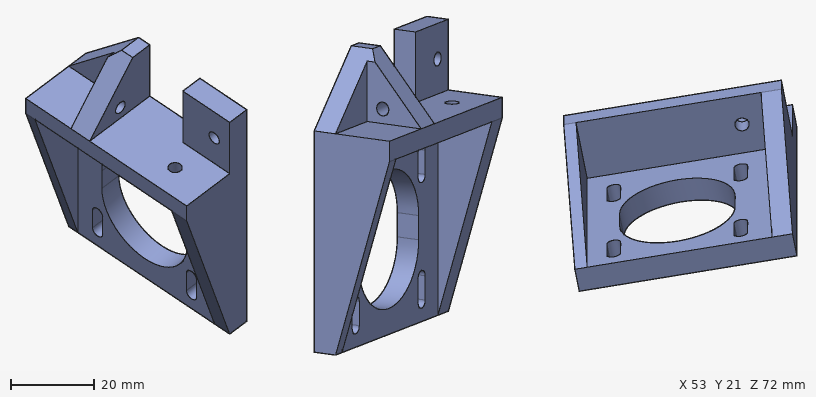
import cadquery as cq

width = 53.0
depth = 21.0
height = 71.95

plate_thickness = 6.0
shelf_thickness = 5.05
shelf_top = 54.55
left_wall = 3.0
right_wall = 5.0
plate_front = depth - plate_thickness
shelf_bottom = shelf_top - shelf_thickness

tower_width = 21.1
gusset_thickness = 6.2
tab_width = 15.5
upright_height = height - shelf_top

motor_x = 25.0
motor_z = 23.45
bore_diameter = 28.1
slot_diameter = 3.3
slot_pitch = 30.95
travel = 6.0

screw_diameter = 3.4
tab_hole_x = 47.9
tab_hole_z = 63.2
gusset_hole_y = 10.7
gusset_hole_z = 58.1
shelf_hole_x = 42.1
shelf_hole_y = 7.55


def box(x, y, z, size_x, size_y, size_z):
    """Box with its lowest corner at (x, y, z)."""
    return cq.Workplane("XY").box(size_x, size_y, size_z, centered=False).translate((x, y, z))


def drill_along_y(x, z):
    """Screw cutter running through the whole depth."""
    return cq.Workplane("XZ").center(x, z).circle(screw_diameter / 2).extrude(-depth)


def vertical_slot(x, z, diameter):
    """Upright slot cutter through the depth, long enough for the motor travel."""
    return (
        cq.Workplane("XZ")
        .center(x, z)
        .slot2D(diameter + travel, diameter, 90)
        .extrude(-depth)
    )


side_profile = [
    (depth, 0),
    (plate_front, 0),
    (0, shelf_bottom),
    (0, shelf_top),
    (plate_front, height),
    (depth, height),
]
blank = cq.Workplane("YZ").polyline(side_profile).close().extrude(width)

body = blank.intersect(box(0, 0, 0, width, depth, shelf_top))
body = body.cut(box(left_wall, 0, 0, width - left_wall - right_wall, plate_front, shelf_bottom))

tower_outline = [
    (0, shelf_top),
    (upright_height, height),
    (tower_width, height),
    (tower_width, shelf_top),
]
tower = cq.Workplane("XZ").polyline(tower_outline).close().extrude(-depth).intersect(blank)
tower = tower.cut(
    box(0, 0, shelf_top, tower_width - gusset_thickness, plate_front, upright_height)
)
gusset_hole = (
    cq.Workplane("YZ")
    .center(gusset_hole_y, gusset_hole_z)
    .circle(screw_diameter / 2)
    .extrude(tower_width)
)
tower = tower.cut(gusset_hole)

tab = box(width - tab_width, plate_front, shelf_top, tab_width, plate_thickness, upright_height)
tab = tab.cut(drill_along_y(tab_hole_x, tab_hole_z))

body = body.cut(vertical_slot(motor_x, motor_z, bore_diameter))
for side_x in (-1, 1):
    for side_z in (-1, 1):
        slot_x = motor_x + side_x * slot_pitch / 2
        slot_z = motor_z + side_z * slot_pitch / 2
        body = body.cut(vertical_slot(slot_x, slot_z, slot_diameter))

shelf_hole = (
    cq.Workplane("XY", origin=(shelf_hole_x, shelf_hole_y, shelf_bottom))
    .circle(screw_diameter / 2)
    .extrude(shelf_thickness)
)
body = body.cut(shelf_hole)

result = body.union(tower).union(tab)